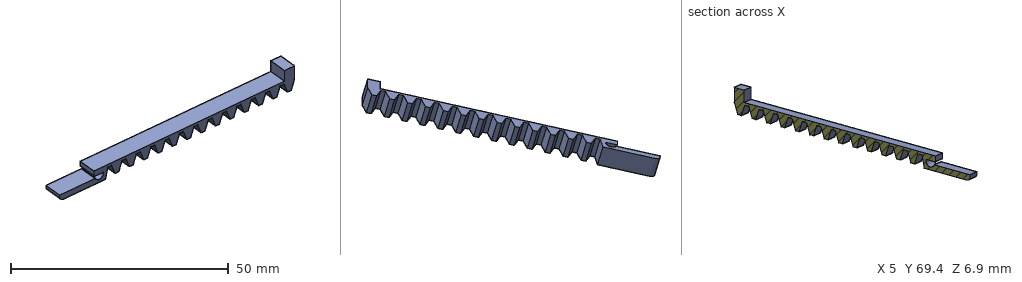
import cadquery as cq
import math

width = 5.0
length = 69.38
height = 6.9
head_end = length / 2
tongue_tip = -length / 2

gear_module = 1.35
pressure_angle = math.radians(20)
tooth_count = 13
pitch = math.pi * gear_module
tip_z = 0.4
root_z = tip_z + 2 * gear_module
flank_run = (root_z - tip_z) * math.tan(pressure_angle)
tip_half_width = pitch / 4 - flank_run / 2
root_half_width = tip_half_width + flank_run
first_tooth_y = head_end - root_half_width
last_tooth_y = first_tooth_y - (tooth_count - 1) * pitch

bar_top_z = 3.9
head_length = 3.0

tongue_length = 10.12
tongue_thickness = 1.65
tongue_tip_radius = 1.2
bar_end = tongue_tip + tongue_length
overhang_z = 2.3
overhang_edge_radius = 0.4

web_foot_y = tongue_tip + 13.6
web_root_y = last_tooth_y - pitch + root_half_width

relief_radius = 1.2
relief_floor_z = 0.85
relief_center_y = tongue_tip + 11.7
relief_center_z = relief_floor_z + relief_radius


def extrude_profile(sketch):
    """Extrude a closed Y-Z profile over the full width, centred on X = 0."""
    return sketch.extrude(width / 2, both=True)


def block(y_min, y_max, z_min, z_max):
    """Full-width rectangular block."""
    profile = cq.Workplane("YZ").moveTo(y_min, z_min).lineTo(y_max, z_min)
    return extrude_profile(profile.lineTo(y_max, z_max).lineTo(y_min, z_max).close())


def make_bar():
    bar = block(bar_end, head_end, root_z, bar_top_z)
    head = block(head_end - head_length, head_end, root_z, height)
    return bar.union(head)


def make_tooth(center_y):
    profile = (
        cq.Workplane("YZ")
        .moveTo(center_y - root_half_width, root_z)
        .lineTo(center_y - tip_half_width, tip_z)
        .lineTo(center_y + tip_half_width, tip_z)
        .lineTo(center_y + root_half_width, root_z)
        .close()
    )
    return extrude_profile(profile)


def make_teeth():
    teeth = make_tooth(first_tooth_y)
    for index in range(1, tooth_count):
        teeth = teeth.union(make_tooth(first_tooth_y - index * pitch))
    return teeth


def relief_half_width(z):
    """Half the width of the round relief at height z."""
    return math.sqrt(relief_radius**2 - (z - relief_center_z) ** 2)


def make_tongue_end():
    """Web, overhang and tongue as one C-shaped profile."""
    relief_edge_y = relief_center_y - relief_half_width(tongue_thickness)
    relief_top_y = relief_center_y + relief_half_width(overhang_z)
    profile = (
        cq.Workplane("YZ")
        .moveTo(web_root_y, root_z)
        .lineTo(web_foot_y, 0)
        .lineTo(tongue_tip + tongue_tip_radius, 0)
        .radiusArc((tongue_tip, tongue_tip_radius), tongue_tip_radius)
        .lineTo(tongue_tip, tongue_thickness)
        .lineTo(relief_edge_y, tongue_thickness)
        .threePointArc((relief_center_y, relief_floor_z), (relief_top_y, overhang_z))
        .lineTo(bar_end + overhang_edge_radius, overhang_z)
        .radiusArc((bar_end, overhang_z + overhang_edge_radius), overhang_edge_radius)
        .lineTo(bar_end, root_z)
        .close()
    )
    return extrude_profile(profile)


result = make_bar().union(make_teeth()).union(make_tongue_end()).clean()